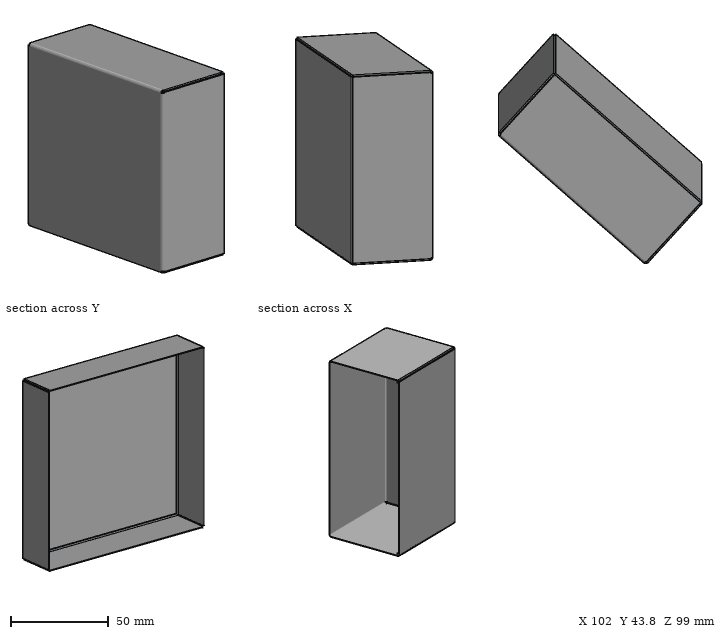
import cadquery as cq

WIDTH = 102.0
DEPTH = 43.8
HEIGHT = 99.0

SHEET = 0.8
CLEARANCE = 0.2
BEND_RADIUS = 1.6
CORNER_RELIEF = 1.4

SETBACK = SHEET + CLEARANCE
PANEL_WIDTH = WIDTH - 2 * SETBACK
PANEL_HEIGHT = HEIGHT - 2 * SETBACK

FRONT_Y = -DEPTH / 2
BACK_Y = DEPTH / 2
FLANGE_END_Y = BACK_Y - SHEET


def plate(width, height, start_y, end_y):
    """Rectangular block centred in X and Z, from start_y to end_y."""
    block = cq.Workplane("XY").box(width, end_y - start_y, height)
    return block.translate((0, (start_y + end_y) / 2, 0))


def front_rounded(width, height, start_y, end_y, radius):
    """Plate with the four edges around its front face rounded."""
    return plate(width, height, start_y, end_y).faces("<Y").edges().fillet(radius)


def corner_bar(size, start_y, end_y, x_sign, z_sign):
    """Square bar along Y whose outer edge lies on one corner of the box outline."""
    bar = plate(size, size, start_y, end_y)
    centre_x = x_sign * (WIDTH - size) / 2
    centre_z = z_sign * (HEIGHT - size) / 2
    return bar.translate((centre_x, 0, centre_z))


def folded_tray():
    """Front panel with four flanges folded back, slit and relieved at the corners."""
    outside = front_rounded(WIDTH, HEIGHT, FRONT_Y, FLANGE_END_Y, BEND_RADIUS)
    inside = front_rounded(
        WIDTH - 2 * SHEET,
        HEIGHT - 2 * SHEET,
        FRONT_Y + SHEET,
        FLANGE_END_Y,
        BEND_RADIUS - SHEET,
    )
    tray = outside.cut(inside)
    for x_sign in (-1, 1):
        for z_sign in (-1, 1):
            slit = corner_bar(SETBACK, FRONT_Y, FLANGE_END_Y, x_sign, z_sign)
            relief = corner_bar(CORNER_RELIEF, FRONT_Y, FRONT_Y + CORNER_RELIEF, x_sign, z_sign)
            tray = tray.cut(slit).cut(relief)
    return tray


def back_panel():
    """Back sheet with a narrow rim that seats between the flange ends."""
    sheet = plate(PANEL_WIDTH, PANEL_HEIGHT, FLANGE_END_Y, BACK_Y)
    rim_start_y = FLANGE_END_Y - SHEET
    rim = plate(WIDTH - 2 * SHEET, HEIGHT - 2 * SHEET, rim_start_y, FLANGE_END_Y)
    opening = plate(PANEL_WIDTH - 2 * SHEET, PANEL_HEIGHT - 2 * SHEET, rim_start_y, FLANGE_END_Y)
    rim = rim.cut(opening)
    for x_sign in (-1, 1):
        for z_sign in (-1, 1):
            rim = rim.cut(corner_bar(SETBACK, rim_start_y, FLANGE_END_Y, x_sign, z_sign))
    return sheet.union(rim)


result = folded_tray().union(back_panel())